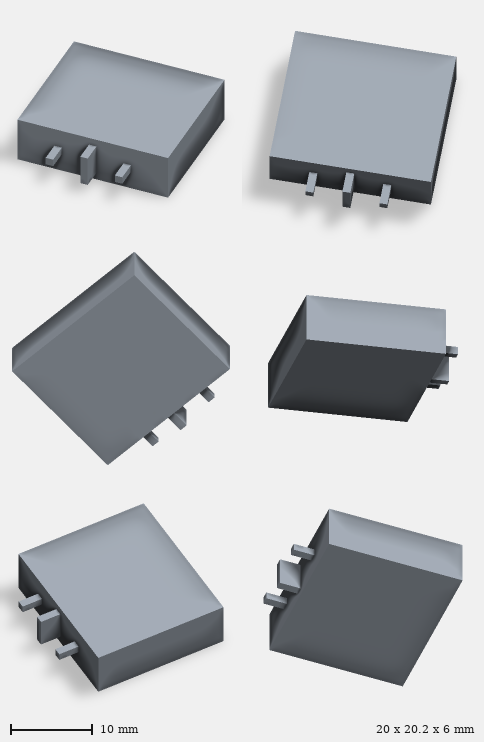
import cadquery as cq

width = 20.0
total_depth = 20.2
height = 6.0

terminal_length = 2.7
terminal_thickness = 0.99
blade_height = 4.0
pin_offset = 4.59

body_depth = total_depth - terminal_length
terminal_overlap = 0.2


def make_terminal(x_center, terminal_height):
    """Rectangular terminal centred in height, projecting toward -Y from the face at Y = 0."""
    return (
        cq.Workplane("XY")
        .box(terminal_thickness, terminal_length + terminal_overlap, terminal_height)
        .translate((x_center, (terminal_overlap - terminal_length) / 2, 0))
    )


result = cq.Workplane("XY").box(width, body_depth, height).translate((0, body_depth / 2, 0))

result = result.union(make_terminal(0, blade_height))

for side in (-1, 1):
    result = result.union(make_terminal(side * pin_offset, terminal_thickness))